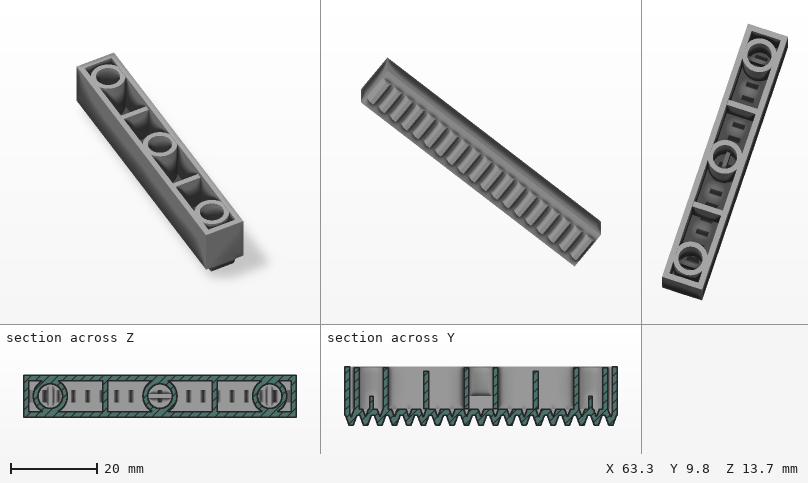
import cadquery as cq
import math

LENGTH = 63.3
WIDTH = 9.8
HEIGHT = 13.65
WALL = 1.35
FLOOR = WALL

TOOTH_COUNT = 19
TOOTH_PITCH = 3.34
TOOTH_TIP = 1.0
TOOTH_HEIGHT = 2.3
TOOTH_WIDTH = 6.0
PRESSURE_ANGLE = 20.0
ROOT_PAD = 0.16

RELIEF_OPENING = 1.25
RELIEF_WIDTH = 2.9

SOCKET_SPACING = 25.4
SOCKET_OUTER_RADIUS = 4.0
SOCKET_INNER_RADIUS = 2.8
SOCKET_DROP = 0.15
RIB_THICKNESS = 0.95
RIB_HEIGHT = 3.0
PARTITION_THICKNESS = 1.3
PARTITION_DROP = 1.0

BODY_BOTTOM = TOOTH_HEIGHT + ROOT_PAD
FLOOR_TOP = BODY_BOTTOM + FLOOR
CAVITY_LENGTH = LENGTH - 2 * WALL
CAVITY_WIDTH = WIDTH - 2 * WALL
FLANK_SLOPE = math.tan(math.radians(PRESSURE_ANGLE))
TOOTH_ROOT = TOOTH_TIP + 2 * TOOTH_HEIGHT * FLANK_SLOPE
RELIEF_DEPTH = RELIEF_OPENING / 2 / FLANK_SLOPE
RIB_SPAN = SOCKET_OUTER_RADIUS + SOCKET_INNER_RADIUS
TOOTH_CENTRES = [
    (i - (TOOTH_COUNT - 1) / 2) * TOOTH_PITCH for i in range(TOOTH_COUNT)
]


def block(length, width, bottom, top, x=0.0):
    """Box centred on (x, 0) between two heights."""
    return cq.Workplane("XY", origin=(x, 0, bottom)).rect(length, width).extrude(top - bottom)


def prism(points, width):
    """XZ outline extruded symmetrically about Y = 0."""
    return cq.Workplane("XZ").polyline(points).close().extrude(width / 2, both=True)


def tooth(x):
    """Trapezoidal rack tooth pointing down."""
    tip = TOOTH_TIP / 2
    root = TOOTH_ROOT / 2
    outline = [
        (x - tip, 0),
        (x + tip, 0),
        (x + root, TOOTH_HEIGHT),
        (x - root, TOOTH_HEIGHT),
    ]
    return prism(outline, TOOTH_WIDTH)


def relief(x):
    """V-shaped pocket sunk from the floor into a tooth."""
    half = RELIEF_OPENING / 2
    outline = [(x - half, FLOOR_TOP), (x + half, FLOOR_TOP), (x, FLOOR_TOP - RELIEF_DEPTH)]
    return prism(outline, RELIEF_WIDTH)


def make_shell():
    """Open-topped box with the rack teeth below it and a relief above each tooth."""
    shell = block(LENGTH, WIDTH, BODY_BOTTOM, HEIGHT)
    shell = shell.cut(block(CAVITY_LENGTH, CAVITY_WIDTH, FLOOR_TOP, HEIGHT))
    shell = shell.union(block(LENGTH, TOOTH_WIDTH, TOOTH_HEIGHT, BODY_BOTTOM))
    for x in TOOTH_CENTRES:
        shell = shell.union(tooth(x))
    cavity_reach = block(CAVITY_LENGTH, CAVITY_WIDTH, 0, HEIGHT)
    for x in TOOTH_CENTRES:
        shell = shell.cut(relief(x).intersect(cavity_reach))
    return shell


def add_socket(body, x, rib_length_x, rib_length_y):
    """Tube on the floor, bridged inside by a low rib."""
    top = HEIGHT - SOCKET_DROP
    base = cq.Workplane("XY", origin=(x, 0, FLOOR_TOP))
    tube = base.circle(SOCKET_OUTER_RADIUS).circle(SOCKET_INNER_RADIUS).extrude(top - FLOOR_TOP)
    inside = block(CAVITY_LENGTH, CAVITY_WIDTH, FLOOR_TOP, HEIGHT)
    rib = block(rib_length_x, rib_length_y, FLOOR_TOP, FLOOR_TOP + RIB_HEIGHT, x)
    return body.union(tube.intersect(inside)).union(rib)


def add_partition(body, x):
    """Cross wall spanning the cavity."""
    return body.union(
        block(PARTITION_THICKNESS, CAVITY_WIDTH, FLOOR_TOP, HEIGHT - PARTITION_DROP, x)
    )


result = make_shell()

result = add_socket(result, 0, RIB_SPAN, RIB_THICKNESS)
for side in (-1, 1):
    result = add_socket(result, side * SOCKET_SPACING, RIB_THICKNESS, RIB_SPAN)
    result = add_partition(result, side * SOCKET_SPACING / 2)